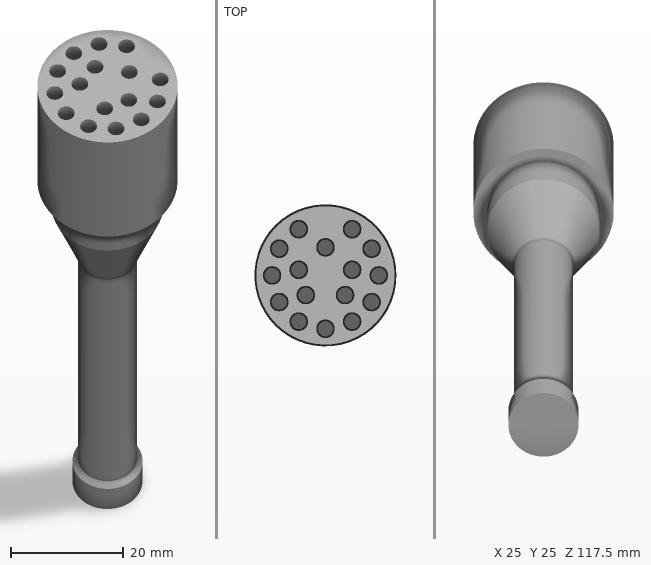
import cadquery as cq
import math

FOOT_DIAMETER = 12.5
STEM_DIAMETER = 10.5
COLLAR_DIAMETER = 20.0
HEAD_DIAMETER = 25.0

FOOT_RIM_HEIGHT = 6.0
FOOT_TAPER_HEIGHT = 1.0
STEM_HEIGHT = 60.0
CONE_HEIGHT = 15.0
COLLAR_HEIGHT = 7.5
HEAD_HEIGHT = 28.0

PIN_DIAMETER = 3.0
PIN_DEPTH = 10.0
OUTER_RING_RADIUS = 9.5
OUTER_RING_POSITIONS = 12
KEY_ANGLE = 90.0
INNER_TOP_Y = 5.0
INNER_MIDDLE_X = OUTER_RING_RADIUS / 2
INNER_MIDDLE_Y = 1.0
INNER_LOWER_OFFSET = 3.5


def make_body():
    """Revolve the stepped outline about Z, with the foot on Z = 0."""
    foot_rim_top = FOOT_RIM_HEIGHT
    stem_bottom = foot_rim_top + FOOT_TAPER_HEIGHT
    cone_bottom = stem_bottom + STEM_HEIGHT
    collar_bottom = cone_bottom + CONE_HEIGHT
    head_bottom = collar_bottom + COLLAR_HEIGHT
    head_top = head_bottom + HEAD_HEIGHT
    outline = [
        (0, 0),
        (FOOT_DIAMETER / 2, 0),
        (FOOT_DIAMETER / 2, foot_rim_top),
        (STEM_DIAMETER / 2, stem_bottom),
        (STEM_DIAMETER / 2, cone_bottom),
        (COLLAR_DIAMETER / 2, collar_bottom),
        (COLLAR_DIAMETER / 2, head_bottom),
        (HEAD_DIAMETER / 2, head_bottom),
        (HEAD_DIAMETER / 2, head_top),
        (0, head_top),
    ]
    return cq.Workplane("XZ").polyline(outline).close().revolve(360, (0, 0, 0), (0, 1, 0))


def ring_point(radius, angle):
    """Point at an angle in degrees, measured from +X toward +Y."""
    return (radius * math.cos(math.radians(angle)), radius * math.sin(math.radians(angle)))


def pin_centres():
    """Evenly spaced outer ring without its key position, then the inner group."""
    pitch = 360 / OUTER_RING_POSITIONS
    outer = [
        ring_point(OUTER_RING_RADIUS, KEY_ANGLE + step * pitch)
        for step in range(1, OUTER_RING_POSITIONS)
    ]
    inner = [(0, INNER_TOP_Y)]
    for side in (-1, 1):
        inner.append((side * INNER_MIDDLE_X, INNER_MIDDLE_Y))
        inner.append((side * INNER_LOWER_OFFSET, -INNER_LOWER_OFFSET))
    return outer + inner


def cut_pin_holes(body):
    """Cut flat-bottomed blind holes down from the top face."""
    top_face = body.faces(">Z").workplane(origin=(0, 0, 0))
    return top_face.pushPoints(pin_centres()).hole(PIN_DIAMETER, PIN_DEPTH)


result = cut_pin_holes(make_body())